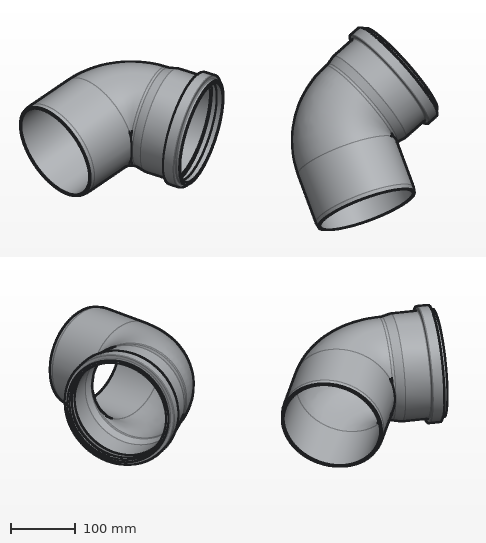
import cadquery as cq
import math

bend_angle = 67.5
bend_radius = 76.2
pipe_radius = 161 / 2
bore_radius = 152.3 / 2

spigot_length = 88.7
tip_length = 7.0
tip_radius = 158.3 / 2

socket_radius = 168.0 / 2
socket_bore_radius = 160.3 / 2
collar_radius = 182.0 / 2
groove_radius = 174.7 / 2
rim_radius = 168.2 / 2
cone_start = 4.5
cone_end = 19.0
collar_start = 60.0
collar_end = 79.0
socket_length = 85.0
collar_fillet = 1.0
collar_wall = collar_radius - groove_radius


def turned(profile):
    """Revolve (radius, station) points about the Y axis, closing along the axis."""
    points = [(0, profile[0][1])] + profile + [(0, profile[-1][1])]
    return cq.Workplane("XY").polyline(points).close().revolve(360, (0, 0), (0, 1))


def bend(radius):
    """Solid bend, its section cut off at the bend axis when it reaches past it."""
    if radius <= bend_radius:
        section = cq.Workplane("XZ").circle(radius)
    else:
        half_chord = math.sqrt(radius**2 - bend_radius**2)
        section = (
            cq.Workplane("XZ")
            .moveTo(bend_radius, half_chord)
            .threePointArc((-radius, 0), (bend_radius, -half_chord))
            .close()
        )
    return section.revolve(bend_angle, (bend_radius, 2.7), (bend_radius, 0))


def at_bend_end(body):
    """Swing a body built on the Y axis to the outlet of the bend."""
    return body.rotate((bend_radius, 0, 0), (bend_radius, 0, 1), -bend_angle)


spigot_outside = turned([
    (tip_radius, -spigot_length),
    (pipe_radius, -spigot_length + tip_length),
    (pipe_radius, 0),
])
spigot_bore = turned([(bore_radius, -spigot_length), (bore_radius, 0)])

socket_body = turned([
    (pipe_radius, 0),
    (pipe_radius, cone_start),
    (socket_radius, cone_end),
    (socket_radius, collar_start),
    (collar_radius, collar_start),
    (collar_radius, collar_end),
    (rim_radius, collar_end),
    (rim_radius, socket_length),
])


def is_collar_edge(edge):
    """True for the outer and root circles on either end face of the collar."""
    tolerance = 0.03
    station = edge.Center().y
    return min(abs(station - collar_start), abs(station - collar_end)) < tolerance


collar_edges = socket_body.edges("%CIRCLE").filter(is_collar_edge)
socket_outside = at_bend_end(collar_edges.fillet(collar_fillet))

socket_bore = at_bend_end(turned([
    (bore_radius, 0),
    (bore_radius, cone_start),
    (socket_bore_radius, cone_end),
    (socket_bore_radius, collar_start + collar_wall),
    (groove_radius, collar_start + collar_wall),
    (groove_radius, collar_end - collar_wall),
    (socket_bore_radius, collar_end - collar_wall),
    (socket_bore_radius, socket_length),
]))

outside = spigot_outside.union(bend(pipe_radius)).union(socket_outside)
passage = spigot_bore.union(bend(bore_radius)).union(socket_bore)
result = outside.cut(passage)